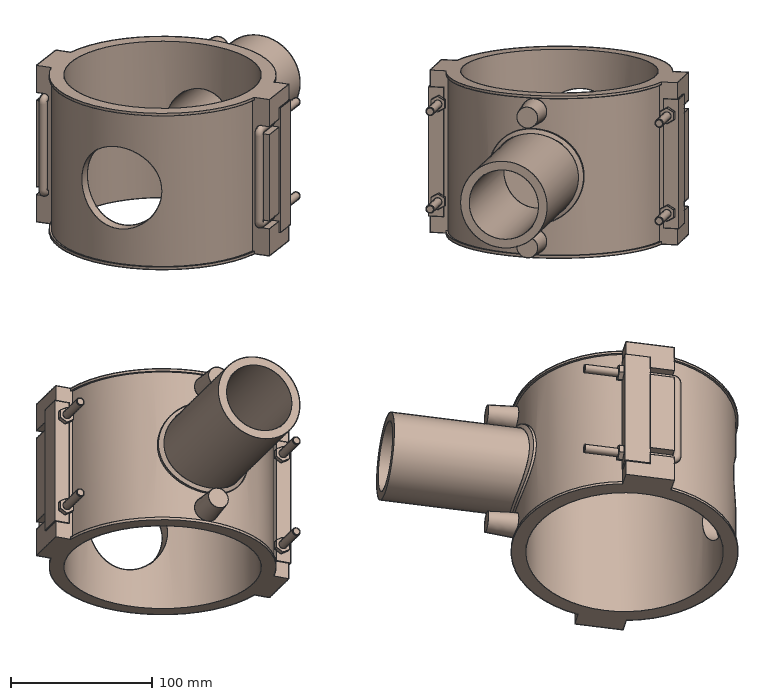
import cadquery as cq
import math

height = 118.0
bore_radius = 70.0
rim_radius = 80.5
rim_step = 1.5
rim_height = 2.0
body_radius = rim_radius - rim_step

pipe_diameter = 63.0
pipe_bore = 50.4
pipe_end = 173.08
collar_diameter = 69.3
collar_thickness = 2.7
collar_chamfer_height = 1.0
collar_chamfer_width = 2.9
front_hole_diameter = 61.74

flange_x = 90.0
flange_depth = 17.5
plate_thickness = 1.0
plate_height = 94.0
plate_inner_x = 80.0

bolt_diameter = 6.0
bolt_radius = bolt_diameter / 2
bolt_x = 83.4
bolt_z = 35.5
bolt_end = 46.5
bolt_chamfer = 0.5
bend_radius = bolt_radius + 0.02
nut_flats = 10.0
nut_thickness = 3.5

terminal_z = 47.2
terminal_end = 100.0
terminal_tip_diameter = 15.2
terminal_root_diameter = 18.2


def cylinder_z(radius, length):
    """Cylinder about Z, centred on the origin."""
    return cq.Workplane("XY").circle(radius).extrude(length / 2, both=True)


def cylinder_y(diameter, start, end, x=0, z=0):
    """Cylinder parallel to Y from Y = start to Y = end."""
    return cq.Workplane("XZ", origin=(x, start, z)).circle(diameter / 2).extrude(start - end)


def box_between(x_range, y_range, z_range):
    """Axis-aligned box given by its limits."""
    sizes = [high - low for low, high in (x_range, y_range, z_range)]
    corner = (x_range[0], y_range[0], z_range[0])
    return cq.Workplane("XY").box(*sizes, centered=False).translate(corner)


def make_shell():
    """Outside of the clamp: plain body with a thin raised rim at each end."""
    shell = cylinder_z(body_radius, height)
    for side in (-1, 1):
        rim = cylinder_z(rim_radius, rim_height)
        shell = shell.union(rim.translate((0, 0, side * (height - rim_height) / 2)))
    return shell


def make_collar():
    """Raised band following the shell around the root of the pipe, bevelled towards the pipe."""
    band = cylinder_z(body_radius + collar_thickness, height)
    collar = band.intersect(cylinder_y(collar_diameter, 0, pipe_end))
    return collar.edges(">Y").chamfer(collar_chamfer_width, collar_chamfer_height)


def make_terminal(z):
    """Tapered socket parallel to Y, rooted in the shell wall."""
    root = (bore_radius + body_radius) / 2
    slope = (terminal_root_diameter - terminal_tip_diameter) / (terminal_end - body_radius)
    buried_diameter = terminal_tip_diameter + slope * (terminal_end - root)
    return (
        cq.Workplane("XZ", origin=(0, root, z))
        .circle(buried_diameter / 2)
        .workplane(offset=root - terminal_end)
        .circle(terminal_tip_diameter / 2)
        .loft()
    )


def make_flange():
    """Flange on the +X side, with open grooves for the bolt legs in its -Y half."""
    flange = box_between(
        (bore_radius, flange_x), (-flange_depth, flange_depth), (-height / 2, height / 2)
    )
    for z in (-bolt_z, bolt_z):
        groove = box_between(
            (bolt_x, flange_x), (-flange_depth, 0), (z - bolt_radius, z + bolt_radius)
        )
        groove = groove.union(cylinder_y(bolt_diameter, -flange_depth, 0, bolt_x, z))
        flange = flange.cut(groove)
    return flange


def make_plate():
    """L-shaped plate covering the outer and +Y faces of the +X flange."""
    outer_x = flange_x + plate_thickness
    outer_y = flange_depth + plate_thickness
    z_range = (-plate_height / 2, plate_height / 2)
    side = box_between((flange_x, outer_x), (0, outer_y), z_range)
    back = box_between((plate_inner_x, outer_x), (flange_depth, outer_y), z_range)
    return side.union(back)


def make_bolt():
    """U-bolt on the +X side: two legs, tight bends, and a bar across the flange."""
    bar_y = -flange_depth - bolt_radius
    bar_half = bolt_z - bend_radius
    nut_seat = flange_depth + plate_thickness
    leg_start = bar_y + bend_radius
    bolt = cq.Workplane("XY", origin=(bolt_x, bar_y, -bar_half)).circle(bolt_radius).extrude(2 * bar_half)
    for side in (-1, 1):
        z = side * bolt_z
        leg = cylinder_y(bolt_diameter, leg_start, bolt_end, bolt_x, z)
        leg = leg.faces(">Y").chamfer(bolt_chamfer)
        bend = (
            cq.Workplane("XY", origin=(bolt_x, bar_y, side * bar_half))
            .circle(bolt_radius)
            .revolve(90, (side, bend_radius, 0), (-side, bend_radius, 0))
        )
        nut = (
            cq.Workplane("XZ", origin=(bolt_x, nut_seat, z))
            .polygon(6, nut_flats / math.cos(math.pi / 6))
            .extrude(-nut_thickness)
            .rotate((bolt_x, 0, z), (bolt_x, 1, z), 90)
        )
        bolt = bolt.union(leg).union(bend).union(nut)
    return bolt


def make_part():
    """Join all the solids, then open the clamp bore, the pipe bore and the -Y hole."""
    part = make_shell()
    part = part.union(make_collar())
    part = part.union(cylinder_y(pipe_diameter, 0, pipe_end))
    for z in (-terminal_z, terminal_z):
        part = part.union(make_terminal(z))
    for fitting in (make_flange(), make_plate(), make_bolt()):
        part = part.union(fitting).union(fitting.mirror("YZ"))
    part = part.cut(cylinder_z(bore_radius, height))
    part = part.cut(cylinder_y(pipe_bore, 0, pipe_end))
    return part.cut(cylinder_y(front_hole_diameter, -rim_radius, 0))


result = make_part()